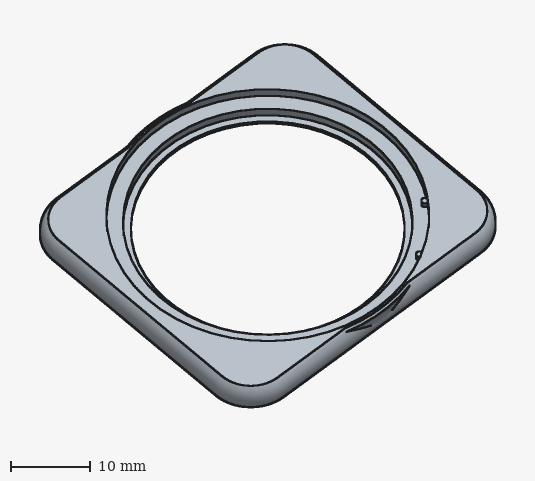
import cadquery as cq
import math

WIDTH = 42.0
LENGTH = 46.0
THICKNESS = 3.0
CORNER_RADIUS = 6.0

LAND_HEIGHT = 0.7
EDGE_ROUND = 3.0
PLATE_BEVEL = 0.1

COLLAR_RADIUS = WIDTH / 2
COLLAR_BEVEL = 0.35

BEVEL_ANGLE = 45.0

RECESS_RADIUS = 20.3
RECESS_DEPTH = 1.3
RECESS_FLOOR = THICKNESS - RECESS_DEPTH
SEAT_RADIUS = 18.2
LIP_THICKNESS = 0.4
OPENING_RADIUS = 17.2

PIN_RADIUS = 0.45
PIN_HEIGHT = 0.7
PIN_CIRCLE_RADIUS = 19.95
PIN_ANGLES = (30.0, 55.0)


def cylinder(radius, bottom, top):
    """Cylinder on the Z axis between two heights."""
    return cq.Workplane("XY").workplane(offset=bottom).circle(radius).extrude(top - bottom)


def with_beveled_top(body, bevel):
    """Raise a body to the full thickness with a bevel that follows its top outline."""
    return body.faces(">Z").wires().toPending().extrude(bevel, taper=BEVEL_ANGLE)


def rounded_plate():
    """Plate with rounded corners, a partial round and a bevel along its upper edge."""
    full_round_height = LAND_HEIGHT + EDGE_ROUND
    block = cq.Workplane("XY").rect(WIDTH, LENGTH).extrude(full_round_height)
    block = block.edges("|Z").fillet(CORNER_RADIUS)
    block = block.faces(">Z").edges().fillet(EDGE_ROUND)
    keep = cq.Workplane("XY").rect(WIDTH, LENGTH).extrude(THICKNESS - PLATE_BEVEL)
    return with_beveled_top(block.intersect(keep), PLATE_BEVEL)


def collar():
    """Round collar with a wider bevel than the plate."""
    return with_beveled_top(cylinder(COLLAR_RADIUS, 0, THICKNESS - COLLAR_BEVEL), COLLAR_BEVEL)


def stepped_bore():
    """Material removed by the recess, the seat and the through opening."""
    recess = cylinder(RECESS_RADIUS, RECESS_FLOOR, THICKNESS)
    seat = cylinder(SEAT_RADIUS, LIP_THICKNESS, THICKNESS)
    opening = cylinder(OPENING_RADIUS, 0, THICKNESS)
    return recess.union(seat).union(opening)


def locating_pin(angle):
    """Pin standing on the recess floor at an angle from +X."""
    x = PIN_CIRCLE_RADIUS * math.cos(math.radians(angle))
    y = PIN_CIRCLE_RADIUS * math.sin(math.radians(angle))
    pin = cylinder(PIN_RADIUS, RECESS_FLOOR, RECESS_FLOOR + PIN_HEIGHT)
    return pin.translate((x, y, 0))


result = rounded_plate().union(collar()).cut(stepped_bore())
for pin_angle in PIN_ANGLES:
    result = result.union(locating_pin(pin_angle))